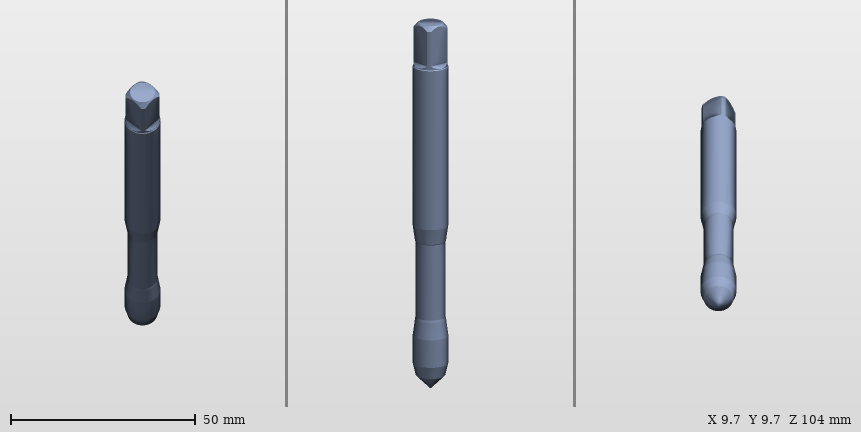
import cadquery as cq

total_length = 104.0
shank_diameter = 9.7
head_diameter = 9.7
neck_diameter = 8.1

point_height = 4.0
point_diameter = 8.0
lead_top = 7.4
land_top = 15.2
head_top = 19.9
taper_end_diameter = 8.4

neck_bottom = 20.6
neck_top = 41.9
shank_taper_bottom = 42.1
shank_bottom = 46.5
shank_top = 91.6

drive_across_flats = 7.3
drive_corner_diameter = 9.3
drive_end_diameter = 6.7
flat_bottom = 92.9
end_chamfer = (drive_corner_diameter - drive_end_diameter) / 2
shoulder_chamfer = (shank_diameter - drive_corner_diameter) / 2


def revolve_about_z(diameter_heights):
    """Turn a profile, given as (diameter, height) pairs, about the Z axis."""
    bottom = diameter_heights[0][1]
    top = diameter_heights[-1][1]
    outline = [(0, bottom)]
    outline += [(diameter / 2, height) for diameter, height in diameter_heights if diameter > 0]
    outline.append((0, top))
    return cq.Workplane("XZ").polyline(outline).close().revolve(360, (0, 0, 0), (0, 1, 0))


def make_head():
    """Pointed head with a tapered lead, a cylindrical land and a rear taper."""
    return revolve_about_z([
        (0, 0),
        (point_diameter, point_height),
        (head_diameter, lead_top),
        (head_diameter, land_top),
        (taper_end_diameter, head_top),
    ])


def make_flat_cutter():
    """Material removed above one drive flat, with a 45 degree run-out at its foot."""
    flat_offset = drive_across_flats / 2
    cut_reach = shank_diameter
    run_out = cut_reach - flat_offset
    profile = [
        (flat_offset, flat_bottom),
        (cut_reach, flat_bottom - run_out),
        (cut_reach, total_length),
        (flat_offset, total_length),
    ]
    return cq.Workplane("XZ").polyline(profile).close().extrude(shank_diameter, both=True)


def make_shank():
    """Neck, round shank and square drive turned and milled from one piece."""
    shank = revolve_about_z([
        (taper_end_diameter, head_top),
        (neck_diameter, neck_bottom),
        (neck_diameter, neck_top),
        (taper_end_diameter, shank_taper_bottom),
        (shank_diameter, shank_bottom),
        (shank_diameter, shank_top),
        (drive_corner_diameter, shank_top + shoulder_chamfer),
        (drive_corner_diameter, total_length - end_chamfer),
        (drive_end_diameter, total_length),
    ])
    for angle in (0, 90, 180, 270):
        shank = shank.cut(make_flat_cutter().rotate((0, 0, 0), (0, 0, 1), angle))
    return shank


head = make_head()
shank = make_shank()

result = cq.Compound.makeCompound([head.val(), shank.val()])